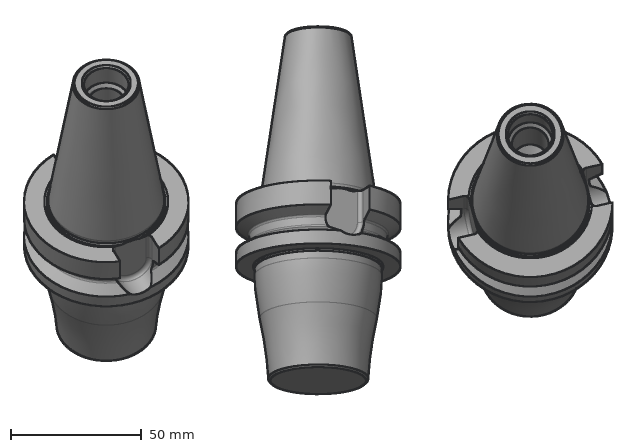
import cadquery as cq

total_length = 137.9
taper_gauge_z = 72.5
taper_small_radius = 12.8
taper_large_radius = 22.2
taper_tip_chamfer = 0.7
collar_height = 1.4
relief_outer_radius = 23.7
relief_inner_radius = 22.8
relief_depth = 0.4

flange_radius = 31.51
flange_top_z = 70.6
flange_bottom_z = 45.5
groove_floor_radius = 26.5
groove_upper_z = 61.1
groove_floor_upper_z = 58.2
groove_floor_lower_z = 53.9
groove_lower_z = 51.0
groove_fillet = 1.0

nose_radius = 24.4
nose_neck_radius = 25.0
nose_neck_z = 44.7
nose_cylinder_end_z = 41.8
nose_bulge_radius = 24.0
nose_bulge_z = 33.1
nose_waist_radius = 22.5
nose_waist_z = 24.8
nose_lower_radius = 20.3
nose_lower_z = 12.4
nose_end_radius = 19.2
nose_end_chamfer = 0.8

slot_width = 16.3
slot_floor_x = 22.5
slot_bottom_z = 49.8
slot_floor_fillet = 1.7

bore_mouth_radius = 9.4
bore_radius = 8.5
bore_depth = 9.1
pilot_radius = 7.0
pilot_depth = 27.6
drill_point_height = 4.1


def make_body():
    """Revolve the shank, flange and nose about Z."""
    profile = (
        cq.Workplane("XZ")
        .lineTo(nose_end_radius - nose_end_chamfer, 0)
        .lineTo(nose_end_radius, nose_end_chamfer)
        .threePointArc((nose_lower_radius, nose_lower_z), (nose_waist_radius, nose_waist_z))
        .threePointArc((nose_bulge_radius, nose_bulge_z), (nose_radius, nose_cylinder_end_z))
        .lineTo(nose_radius, nose_neck_z)
        .lineTo(nose_neck_radius, flange_bottom_z)
        .lineTo(flange_radius, flange_bottom_z)
        .lineTo(flange_radius, groove_lower_z)
        .lineTo(groove_floor_radius, groove_floor_lower_z)
        .lineTo(groove_floor_radius, groove_floor_upper_z)
        .lineTo(flange_radius, groove_upper_z)
        .lineTo(flange_radius, flange_top_z)
        .lineTo(relief_outer_radius, flange_top_z)
        .lineTo(relief_inner_radius, flange_top_z - relief_depth)
        .lineTo(taper_large_radius, taper_gauge_z - collar_height)
        .lineTo(taper_large_radius, taper_gauge_z)
        .lineTo(taper_small_radius, total_length - taper_tip_chamfer)
        .lineTo(taper_small_radius - taper_tip_chamfer, total_length)
        .lineTo(0, total_length)
        .close()
    )
    return profile.revolve(360, (0, 0, 0), (0, 1, 0))


def fillet_groove(body):
    """Round the two inner corners of the V-groove."""
    reach = groove_floor_radius + 0.1
    corners = cq.selectors.BoxSelector(
        (-reach, -reach, groove_floor_lower_z - 0.1),
        (reach, reach, groove_floor_upper_z + 0.1),
        boundingbox=True,
    )
    circles = body.edges(corners).edges("%CIRCLE")
    return circles.fillet(groove_fillet)


def make_slot_cutter():
    """U-shaped drive slot on the +X side, rounded where its wall meets its floor."""
    slot_radius = slot_width / 2
    arc_center_z = slot_bottom_z + slot_radius
    return (
        cq.Workplane("YZ", origin=(slot_floor_x, 0, 0))
        .moveTo(-slot_radius, flange_top_z)
        .lineTo(-slot_radius, arc_center_z)
        .threePointArc((0, slot_bottom_z), (slot_radius, arc_center_z))
        .lineTo(slot_radius, flange_top_z)
        .close()
        .extrude(flange_radius)
        .faces("<X").edges("not(>Z)")
        .fillet(slot_floor_fillet)
    )


def make_bore_cutter():
    """Chamfered counterbore, pilot hole and conical drill point."""
    mouth_chamfer = bore_mouth_radius - bore_radius
    return (
        cq.Workplane("XZ", origin=(0, 0, total_length))
        .lineTo(bore_mouth_radius, 0)
        .lineTo(bore_radius, -mouth_chamfer)
        .lineTo(bore_radius, -bore_depth)
        .lineTo(pilot_radius, -bore_depth - (bore_radius - pilot_radius))
        .lineTo(pilot_radius, -pilot_depth)
        .lineTo(0, -pilot_depth - drill_point_height)
        .close()
        .revolve(360, (0, 0, 0), (0, 1, 0))
    )


result = fillet_groove(make_body())
for slot_angle in (0, 180):
    result = result.cut(make_slot_cutter().rotate((0, 0, 0), (0, 0, 1), slot_angle))
result = result.cut(make_bore_cutter())